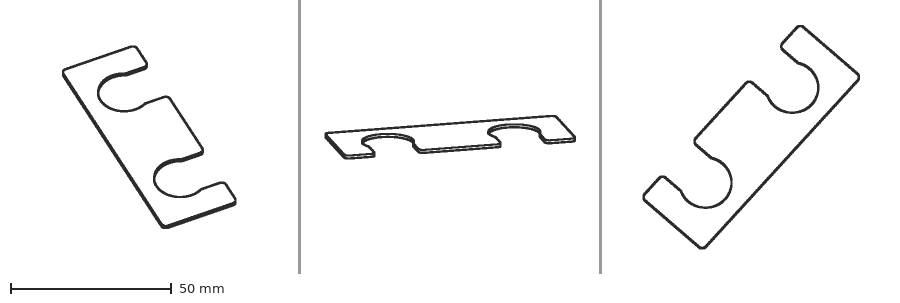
import cadquery as cq

length = 74.17
depth = 25.4
thickness = 1.0
corner_radius = 1.5

notch_spacing = 40.64
bore_diameter = 16.2
bore_height = 13.7
throat_width = 14.2

bore_y = bore_height - depth / 2
throat_length = depth / 2 - bore_y
notch_xs = [-notch_spacing / 2, notch_spacing / 2]


def make_plate():
    """Flat rectangular plate centred on the origin."""
    return cq.Workplane("XY").box(length, depth, thickness)


def throat_cutter(x):
    """Straight-sided opening from the bore centre to the +Y edge."""
    throat = cq.Workplane("XY").box(throat_width, throat_length, thickness)
    return throat.translate((x, bore_y + throat_length / 2, 0))


def bore_cutter(x):
    """Round seat, wider than the throat."""
    bore = cq.Workplane("XY").circle(bore_diameter / 2).extrude(thickness / 2, both=True)
    return bore.translate((x, bore_y, 0))


result = make_plate()
for notch_x in notch_xs:
    result = result.cut(throat_cutter(notch_x))
outer_corners = result.edges("|Z and (>Y or <Y)")
result = outer_corners.fillet(corner_radius)
for notch_x in notch_xs:
    result = result.cut(bore_cutter(notch_x))